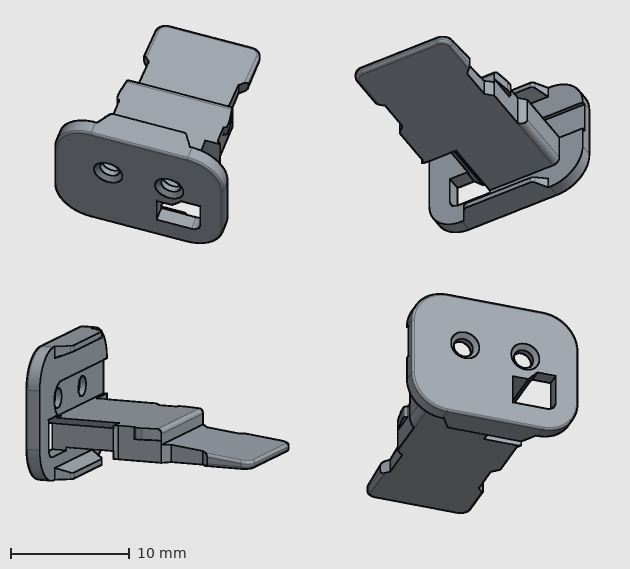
import cadquery as cq

PLATE_WIDTH = 14.95
PLATE_HEIGHT = 11.5
PLATE_THICKNESS = 1.3
PLATE_CORNER_RADIUS = 3.2
PLATE_RIM_RADIUS = 0.2

TAB_END_Y = 2.6
TAB_ROOT_HALF_WIDTH = 4.12
TAB_TIP_HALF_WIDTH = 3.33
TAB_TIP_RADIUS = 0.39
TAB_ROOT_HEIGHT = 1.03
TAB_TIP_HEIGHT = 0.52

HOLE_OFFSET_X = 2.7
HOLE_Z = 1.0
HOLE_DIAMETER = 1.7
SINK_DIAMETER = 2.53
SINK_ANGLE = 90.0
GROOVE_DEPTH = 0.3
GROOVE_RADIUS = 1.5

TONGUE_BOTTOM_Z = -3.42
TONGUE_HEIGHT = 2.92
TONGUE_TOP_Z = TONGUE_BOTTOM_Z + TONGUE_HEIGHT
TONGUE_END_Y = 11.22
TONGUE_HALF_WIDTH = 4.62
ROOT_HALF_WIDTH = 5.2
ROOT_SHOULDER_Y = 7.28
ROOT_BOTTOM_RADIUS = 0.62
TONGUE_NOSE_RADIUS = 0.39
ROOT_STEP = ROOT_HALF_WIDTH - TONGUE_HALF_WIDTH

BUMP_START_Y = 8.8
BUMP_RAMP_Y = 9.52
BUMP_RADIUS = 0.2
BUMP_ROOT_RADIUS = 0.08
BUMP_HEIGHT = 1.0

BLADE_END_Y = 19.35
BLADE_ROOT_HEIGHT = 1.57
BLADE_TIP_HEIGHT = 0.7
BLADE_NECK_HALF_WIDTH = 3.99
BLADE_CORNER_RADIUS = 0.95
BLADE_EDGE_RADIUS = 0.27
NECK_END_Y = 14.75
NECK_STEP = TONGUE_HALF_WIDTH - BLADE_NECK_HALF_WIDTH
HEAD_START_Y = NECK_END_Y + NECK_STEP

WINDOW_LEFT_X = 1.59
WINDOW_RIGHT_X = 5.45
WINDOW_BOTTOM_Z = -3.7
WINDOW_TOP_Z = -0.3
WINDOW_BEVEL = 0.83
WINDOW_BEVEL_X = 2.98
WINDOW_CORNER_RADIUS = 0.8
WINDOW_END_Y = 6.97


def plane_xz(y):
    """Plane at depth y, local axes X and Z, extruding towards +Y with a negative length."""
    return cq.Workplane("XZ", origin=(0, y, 0))


def symmetric_outline(right_side, z, height):
    """Extrude upward from z the XY outline whose +X half is given, root to tip."""
    left_side = [(-x, y) for x, y in reversed(right_side)]
    return cq.Workplane("XY", origin=(0, 0, z)).polyline(right_side + left_side).close().extrude(height)


def make_plate():
    plate = plane_xz(0).rect(PLATE_WIDTH, PLATE_HEIGHT).extrude(-PLATE_THICKNESS)
    plate = plate.edges("|Y").fillet(PLATE_CORNER_RADIUS)
    return plate.faces("<Y").edges().fillet(PLATE_RIM_RADIUS)


def make_top_tab():
    top_z = PLATE_HEIGHT / 2
    root_z = top_z - TAB_ROOT_HEIGHT
    outline = [(TAB_ROOT_HALF_WIDTH, PLATE_THICKNESS), (TAB_TIP_HALF_WIDTH, TAB_END_Y)]
    tab = symmetric_outline(outline, root_z, TAB_ROOT_HEIGHT)
    tab = tab.edges("|Z and >Y").fillet(TAB_TIP_RADIUS)
    slope = (
        cq.Workplane("YZ")
        .polyline([(PLATE_THICKNESS, root_z), (TAB_END_Y, root_z), (TAB_END_Y, top_z - TAB_TIP_HEIGHT)])
        .close()
        .extrude(TAB_ROOT_HALF_WIDTH, both=True)
    )
    return tab.cut(slope)


def make_tongue_body():
    outline = [
        (ROOT_HALF_WIDTH, PLATE_THICKNESS),
        (ROOT_HALF_WIDTH, ROOT_SHOULDER_Y - ROOT_STEP),
        (TONGUE_HALF_WIDTH, ROOT_SHOULDER_Y),
        (TONGUE_HALF_WIDTH, TONGUE_END_Y),
    ]
    body = symmetric_outline(outline, TONGUE_BOTTOM_Z, TONGUE_HEIGHT)
    section = (
        plane_xz(0)
        .center(0, TONGUE_BOTTOM_Z + TONGUE_HEIGHT / 2)
        .rect(2 * ROOT_HALF_WIDTH, TONGUE_HEIGHT)
        .extrude(-TONGUE_END_Y)
        .edges("|Y and <Z")
        .fillet(ROOT_BOTTOM_RADIUS)
    )
    return body.intersect(section)


def make_right_bump():
    """Snap bump on the +X side, reaching inward to the tongue's middle plane."""
    step_x = TONGUE_HALF_WIDTH + BUMP_ROOT_RADIUS
    root_y = BUMP_START_Y - BUMP_ROOT_RADIUS
    return (
        cq.Workplane("XY", origin=(0, 0, TONGUE_TOP_Z - BUMP_HEIGHT))
        .moveTo(0, root_y)
        .lineTo(TONGUE_HALF_WIDTH, root_y)
        .radiusArc((step_x, BUMP_START_Y), BUMP_ROOT_RADIUS)
        .radiusArc((step_x + BUMP_RADIUS, BUMP_START_Y + BUMP_RADIUS), -BUMP_RADIUS)
        .lineTo(step_x + BUMP_RADIUS, BUMP_RAMP_Y)
        .lineTo(TONGUE_HALF_WIDTH, TONGUE_END_Y)
        .lineTo(0, TONGUE_END_Y)
        .close()
        .extrude(BUMP_HEIGHT)
    )


def make_blade():
    outline = [
        (TONGUE_HALF_WIDTH, TONGUE_END_Y),
        (BLADE_NECK_HALF_WIDTH, TONGUE_END_Y + NECK_STEP),
        (BLADE_NECK_HALF_WIDTH, NECK_END_Y),
        (TONGUE_HALF_WIDTH, HEAD_START_Y),
        (TONGUE_HALF_WIDTH, BLADE_END_Y),
    ]
    blade = symmetric_outline(outline, TONGUE_BOTTOM_Z, BLADE_ROOT_HEIGHT)
    blade = blade.edges("|Z and >Y").fillet(BLADE_CORNER_RADIUS)
    wedge = (
        cq.Workplane("YZ")
        .polyline([
            (TONGUE_END_Y, TONGUE_BOTTOM_Z),
            (BLADE_END_Y, TONGUE_BOTTOM_Z),
            (BLADE_END_Y, TONGUE_BOTTOM_Z + BLADE_TIP_HEIGHT),
            (TONGUE_END_Y, TONGUE_BOTTOM_Z + BLADE_ROOT_HEIGHT),
        ])
        .close()
        .extrude(TONGUE_HALF_WIDTH, both=True)
    )
    blade = blade.intersect(wedge)
    head_zone = cq.selectors.BoxSelector(
        (-PLATE_WIDTH, HEAD_START_Y + BLADE_EDGE_RADIUS, -PLATE_HEIGHT),
        (PLATE_WIDTH, BLADE_END_Y + BLADE_EDGE_RADIUS, PLATE_HEIGHT),
    )
    return blade.edges(head_zone).edges("not |Z").fillet(BLADE_EDGE_RADIUS)


def make_window():
    bevel_z = WINDOW_TOP_Z - WINDOW_BEVEL
    outline = [
        (WINDOW_LEFT_X, WINDOW_BOTTOM_Z),
        (WINDOW_RIGHT_X, WINDOW_BOTTOM_Z),
        (WINDOW_RIGHT_X, WINDOW_TOP_Z),
        (WINDOW_BEVEL_X + WINDOW_BEVEL, WINDOW_TOP_Z),
        (WINDOW_BEVEL_X, bevel_z),
        (WINDOW_LEFT_X, bevel_z),
    ]
    window = plane_xz(0).polyline(outline).close().extrude(-WINDOW_END_Y)
    return window.edges("|Y and >X and <Z").fillet(WINDOW_CORNER_RADIUS)


def make_groove():
    """Groove in the plate's back, open at -X and rounded around the +X hole."""
    plate_left_x = -PLATE_WIDTH / 2
    return (
        plane_xz(PLATE_THICKNESS - GROOVE_DEPTH)
        .moveTo(plate_left_x, HOLE_Z - GROOVE_RADIUS)
        .lineTo(HOLE_OFFSET_X, HOLE_Z - GROOVE_RADIUS)
        .threePointArc((HOLE_OFFSET_X + GROOVE_RADIUS, HOLE_Z), (HOLE_OFFSET_X, HOLE_Z + GROOVE_RADIUS))
        .lineTo(plate_left_x, HOLE_Z + GROOVE_RADIUS)
        .close()
        .extrude(-GROOVE_DEPTH)
    )


plate = make_plate().cut(make_groove())
plate = (
    plate.faces("<Y")
    .workplane(origin=(0, 0, 0))
    .pushPoints([(-HOLE_OFFSET_X, HOLE_Z), (HOLE_OFFSET_X, HOLE_Z)])
    .cskHole(HOLE_DIAMETER, SINK_DIAMETER, SINK_ANGLE, depth=PLATE_THICKNESS)
)

top_tab = make_top_tab()
bottom_tab = top_tab.mirror("XY")

right_bump = make_right_bump()
tongue = make_tongue_body().union(right_bump).union(right_bump.mirror("YZ"))
tongue = tongue.edges("|X and >Z and >Y").fillet(TONGUE_NOSE_RADIUS)

result = plate.union(top_tab).union(bottom_tab).union(tongue).union(make_blade()).cut(make_window())